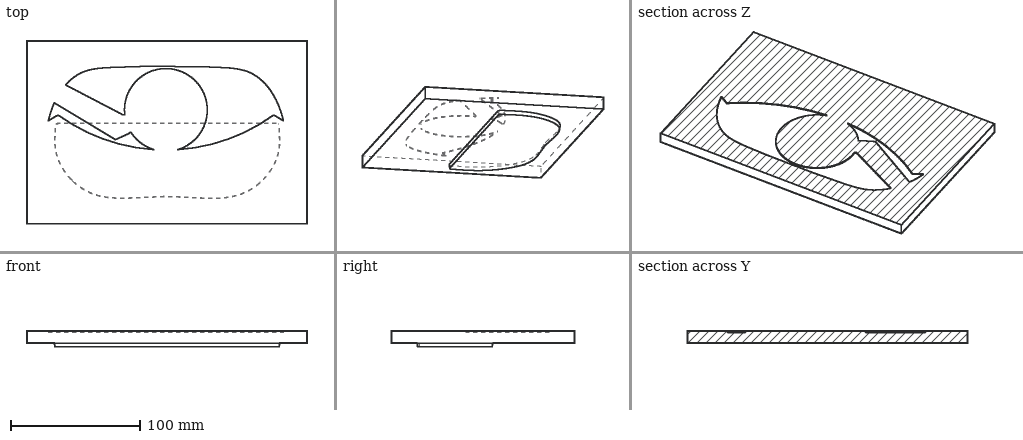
import cadquery as cq
import math

plate_length = 216.3
plate_width = 141.5
plate_thickness = 9.5

boss_height = 3.0
boss_length = 173.5
boss_straight_y = 7.5
boss_crown_y = -49.5
boss_end_y = -0.6
boss_shoulder_x = 62.7
boss_shoulder_y = -45.2
boss_haunch_x = 79.4
boss_haunch_y = -30.3
boss_corner_radius = 3.0
boss_draft = 9.0

cavity_cover = 0.6
cavity_height = 0.6
eye_x = -0.9
eye_half_length = 90.8
eye_tip_y = 8.9
eye_top_y = 51.0
eye_bottom_y = -13.6
brow_half_points = [(86.5, 22.0), (79.8, 33.7), (66.2, 45.6), (43.3, 50.2)]
lid_half_length = 83.3
lid_end_y = 13.5

pupil_y = 17.3
pupil_radius = 32.0

handle_outer_top = (-95.2, 45.5)
handle_inner_top = (-34.2, 13.6)
handle_outer_bottom = (-95.2, 27.7)
handle_inner_bottom = (-39.8, -5.6)
handle_end = (-30.3, -1.3)


def make_plate():
    return cq.Workplane("XY").box(plate_length, plate_width, plate_thickness, centered=(True, True, False))


def boss_outline(z, inset):
    """Boss outline at height z, pulled in from its full size by the inset."""
    half_length = boss_length / 2 - inset
    straight_y = boss_straight_y - inset
    corner_inset = boss_corner_radius * (1 - math.sqrt(0.5))
    straight_end_x = half_length - boss_corner_radius
    corner_end_y = straight_y - boss_corner_radius
    haunch_x = boss_haunch_x - inset
    bowed_side = [
        (haunch_x, boss_haunch_y),
        (boss_shoulder_x, boss_shoulder_y + inset),
        (0, boss_crown_y + inset),
        (-boss_shoulder_x, boss_shoulder_y + inset),
        (-haunch_x, boss_haunch_y),
        (-half_length, boss_end_y),
    ]
    return (
        cq.Workplane("XY", origin=(0, 0, z))
        .moveTo(-straight_end_x, straight_y)
        .lineTo(straight_end_x, straight_y)
        .threePointArc((half_length - corner_inset, straight_y - corner_inset), (half_length, corner_end_y))
        .lineTo(half_length, boss_end_y)
        .spline(bowed_side, includeCurrent=True)
        .lineTo(-half_length, corner_end_y)
        .threePointArc((corner_inset - half_length, straight_y - corner_inset), (-straight_end_x, straight_y))
        .close()
        .val()
    )


def make_boss():
    bottom_inset = boss_height * math.tan(math.radians(boss_draft))
    outlines = [boss_outline(0, 0), boss_outline(-boss_height, bottom_inset)]
    return cq.Workplane(cq.Solid.makeLoft(outlines, True))


def make_cavity():
    floor = cq.Workplane("XY", origin=(0, 0, plate_thickness - cavity_cover - cavity_height))
    left_brow = [(eye_x - x, y) for x, y in brow_half_points]
    right_brow = [(eye_x + x, y) for x, y in reversed(brow_half_points)]
    right_tip = (eye_x + eye_half_length, eye_tip_y)
    eye = (
        floor.moveTo(eye_x - eye_half_length, eye_tip_y)
        .spline(left_brow + [(eye_x, eye_top_y)] + right_brow + [right_tip], includeCurrent=True)
        .lineTo(eye_x + lid_half_length, lid_end_y)
        .threePointArc((eye_x, eye_bottom_y), (eye_x - lid_half_length, lid_end_y))
        .close()
        .extrude(cavity_height)
    )
    pupil = floor.center(eye_x, pupil_y).circle(pupil_radius).extrude(cavity_height)
    handle = (
        floor.moveTo(*handle_outer_top)
        .lineTo(*handle_inner_top)
        .lineTo(eye_x, pupil_y)
        .lineTo(*handle_end)
        .lineTo(*handle_inner_bottom)
        .lineTo(*handle_outer_bottom)
        .close()
        .extrude(cavity_height)
    )
    return eye.cut(pupil).cut(handle)


result = make_plate().union(make_boss()).cut(make_cavity())